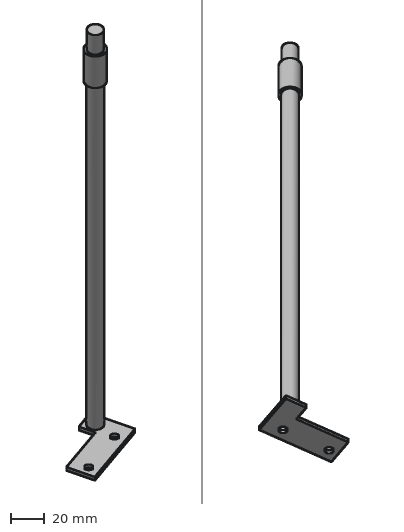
import cadquery as cq

total_height = 307.5

plate_width = 30.0
plate_length = 50.0
plate_thickness = 2.8
leg_width = 19.0
pad_depth = 14.0

hole_diameter = 5.2
hole_to_right_edge = 7.5
first_hole_to_back_edge = 12.0
hole_spacing = 32.0

rod_diameter = 10.8
collar_diameter = 13.8
collar_height = 24.3
tip_diameter = 10.0
tip_height = 15.0
axis_to_left_edge = 7.5
axis_to_back_edge = 7.5

left_x = -axis_to_left_edge
right_x = left_x + plate_width
back_y = axis_to_back_edge
front_y = back_y - plate_length
collar_top = total_height - tip_height
collar_bottom = collar_top - collar_height


def make_plate():
    """Foot plate with its underside at Z = 0."""
    leg_left_x = right_x - leg_width
    pad_front_y = back_y - pad_depth
    hole_x = right_x - hole_to_right_edge
    first_hole_y = back_y - first_hole_to_back_edge
    hole_centers = [(hole_x, first_hole_y), (hole_x, first_hole_y - hole_spacing)]
    outline = [
        (left_x, back_y),
        (right_x, back_y),
        (right_x, front_y),
        (leg_left_x, front_y),
        (leg_left_x, pad_front_y),
        (left_x, pad_front_y),
    ]
    plate = cq.Workplane("XY").polyline(outline).close().extrude(plate_thickness)
    holes = (
        cq.Workplane("XY")
        .pushPoints(hole_centers)
        .circle(hole_diameter / 2)
        .extrude(plate_thickness)
    )
    return plate.cut(holes)


def make_cylinder(diameter, bottom, top):
    """Upright cylinder on the post axis."""
    return cq.Workplane("XY").workplane(offset=bottom).circle(diameter / 2).extrude(top - bottom)


rod = make_cylinder(rod_diameter, 0, collar_bottom)
collar = make_cylinder(collar_diameter, collar_bottom, collar_top)
tip = make_cylinder(tip_diameter, collar_top, total_height)

result = make_plate().union(rod).union(collar).union(tip)